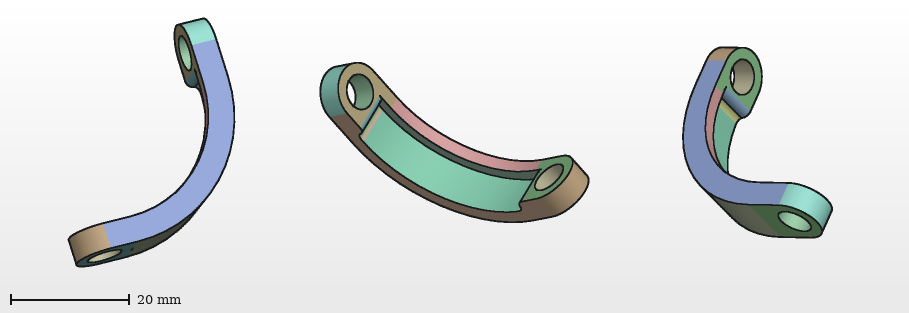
import cadquery as cq
import math

tilt = 36.0
half_width = 5.0
hole_diameter = 6.0
thickness = 4.5
long_leg = 30.55
short_leg = 28.7
bend_radius = 23.75
pocket_depth = 2.0
ledge_width = 2.45
round_radius = 1.35
cove_run = 1.2

inner_radius = bend_radius - thickness
floor_radius = inner_radius + pocket_depth
floor_depth = thickness - pocket_depth
sin_45 = math.sin(math.pi / 4)

slope_dir = cq.Vector(math.cos(math.radians(tilt)), 0, -math.sin(math.radians(tilt)))
width_dir = cq.Vector(math.sin(math.radians(tilt)), 0, math.cos(math.radians(tilt)))
bracket_plane = cq.Plane(origin=(0, 0, 0), xDir=slope_dir, normal=width_dir)


def on_bend(radius):
    """Point halfway round the bend at the given radius."""
    place = -bend_radius + radius * sin_45
    return (place, place)


def make_strip():
    """Constant-thickness bent strip, ending at the two hole axes."""
    return (
        cq.Workplane(bracket_plane)
        .workplane(offset=-half_width)
        .moveTo(-long_leg, 0)
        .lineTo(-bend_radius, 0)
        .threePointArc(on_bend(bend_radius), (0, -bend_radius))
        .lineTo(0, -short_leg)
        .lineTo(-thickness, -short_leg)
        .lineTo(-thickness, -bend_radius)
        .threePointArc(on_bend(inner_radius), (-bend_radius, -thickness))
        .lineTo(-long_leg, -thickness)
        .close()
        .extrude(2 * half_width)
    )


def end_disc(local_center, inward, diameter):
    """Cylinder through one leg, from the outer face inward."""
    center = bracket_plane.toWorldCoords(local_center)
    return cq.Workplane(cq.Solid.makeCylinder(diameter / 2, thickness, center, inward))


def make_pocket():
    """Inner-face recess with a rounded shoulder and a hollow at each end."""
    shoulder = half_width
    shoulder_depth = thickness - round_radius
    x_wall = -long_leg + shoulder
    y_wall = -short_leg + shoulder
    round_mid = round_radius * sin_45
    x_floor = x_wall + cove_run
    y_floor = y_wall + cove_run
    bend_rise = y_floor + bend_radius
    floor_end = (-bend_radius + math.sqrt(floor_radius**2 - bend_rise**2), y_floor)
    cove_drop = shoulder_depth - floor_depth
    cove_radius = (cove_run**2 + cove_drop**2) / (2 * cove_drop)
    return (
        cq.Workplane(bracket_plane)
        .workplane(offset=-half_width)
        .moveTo(x_wall - round_radius, -thickness)
        .threePointArc(
            (x_wall - round_radius + round_mid, -shoulder_depth - round_mid),
            (x_wall, -shoulder_depth),
        )
        .radiusArc((x_floor, -floor_depth), cove_radius)
        .lineTo(-bend_radius, -floor_depth)
        .threePointArc(on_bend(floor_radius), floor_end)
        .radiusArc((-shoulder_depth, y_wall), cove_radius)
        .threePointArc(
            (-shoulder_depth - round_mid, y_wall - round_radius + round_mid),
            (-thickness, y_wall - round_radius),
        )
        .lineTo(-bend_radius, -bend_radius)
        .close()
        .extrude(2 * half_width - ledge_width)
    )


leg_ends = [
    ((-long_leg, 0, 0), cq.Vector(0, -1, 0)),
    ((0, -short_leg, 0), slope_dir * -1),
]

result = make_strip()
for end_center, inward in leg_ends:
    result = result.union(end_disc(end_center, inward, 2 * half_width))
result = result.cut(make_pocket())
for end_center, inward in leg_ends:
    result = result.cut(end_disc(end_center, inward, hole_diameter))